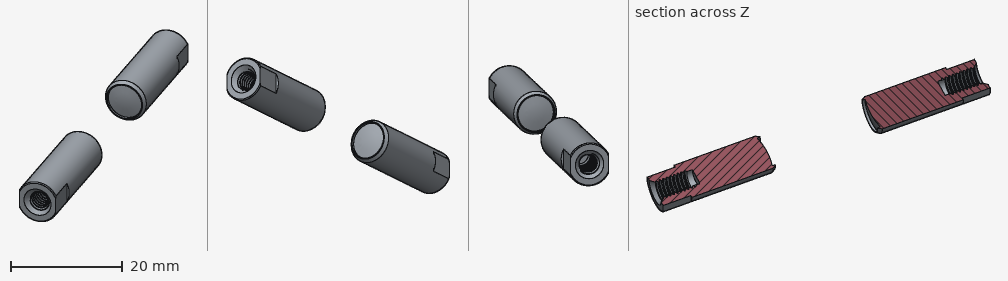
import cadquery as cq
import math

overall_length = 64.2
pin_length = 22.1

pin_diameter = 7.9
mouth_chamfer = 0.2
dome_chamfer_radial = 0.45
dome_chamfer_axial = 0.7

flat_width = 7.0
flat_length = 5.45

rim_width = 0.2
recess_depth = 0.5
dome_height = 0.4

thread_pitch = 0.7
thread_major_diameter = 4.0
thread_minor_diameter = 3.3
hole_depth = 8.0
thread_runout = 0.95
countersink_diameter = 5.2
countersink_depth = 0.95
root_flat = thread_pitch / 8
thread_angle = 60.0
groove_overlap = 0.03

pin_radius = pin_diameter / 2
hole_radius = thread_minor_diameter / 2


def make_blank():
    """Revolved pin along +Z, with its mouth at Z = 0 and its sunken dome at the far end."""
    rim_radius = pin_radius - dome_chamfer_radial
    dome_radius = rim_radius - rim_width
    dome_edge_z = pin_length - recess_depth
    sphere_radius = (dome_radius**2 + dome_height**2) / (2 * dome_height)
    half_angle = math.asin(dome_radius / sphere_radius) / 2
    sphere_center_z = dome_edge_z + dome_height - sphere_radius
    dome_middle = (
        sphere_radius * math.sin(half_angle),
        sphere_center_z + sphere_radius * math.cos(half_angle),
    )
    return (
        cq.Workplane("XZ")
        .moveTo(0, 0)
        .lineTo(pin_radius - mouth_chamfer, 0)
        .lineTo(pin_radius, mouth_chamfer)
        .lineTo(pin_radius, pin_length - dome_chamfer_axial)
        .lineTo(rim_radius, pin_length)
        .lineTo(dome_radius, pin_length)
        .lineTo(dome_radius, dome_edge_z)
        .threePointArc(dome_middle, (0, dome_edge_z + dome_height))
        .close()
        .revolve(360, (0, 0, 0), (0, 1, 0))
    )


def cut_flats(pin):
    """Cut two parallel wrench flats, one on each X side of the mouth end."""
    for side in (-1, 1):
        side_block = (
            cq.Workplane("XY")
            .center(side * (flat_width / 2 + pin_radius / 2), 0)
            .rect(pin_radius, pin_diameter)
            .extrude(flat_length)
        )
        pin = pin.cut(side_block)
    return pin


def make_hole():
    """Flat-bottomed core hole with a conical countersink at the mouth."""
    return (
        cq.Workplane("XZ")
        .polyline([
            (0, 0),
            (countersink_diameter / 2, 0),
            (hole_radius, countersink_depth),
            (hole_radius, hole_depth),
            (0, hole_depth),
        ])
        .close()
        .revolve(360, (0, 0, 0), (0, 1, 0))
    )


def make_thread_groove():
    """Right-handed helical groove, running in from one pitch outside the mouth."""
    groove_length = thread_pitch + hole_depth - thread_runout
    helix = cq.Wire.makeHelix(thread_pitch, groove_length, hole_radius)
    inner_radius = hole_radius - groove_overlap
    outer_radius = thread_major_diameter / 2
    flank_rise = (outer_radius - inner_radius) * math.tan(math.radians(thread_angle / 2))
    groove = (
        cq.Workplane("XZ")
        .polyline([
            (inner_radius, -root_flat / 2 - flank_rise),
            (outer_radius, -root_flat / 2),
            (outer_radius, root_flat / 2),
            (inner_radius, root_flat / 2 + flank_rise),
        ])
        .close()
        .sweep(cq.Workplane(obj=helix), isFrenet=True)
    )
    return groove.translate((0, 0, -thread_pitch))


def make_pin():
    """Complete pin, standing on its mouth at Z = 0."""
    pin = cut_flats(make_blank())
    return pin.cut(make_thread_groove()).cut(make_hole())


front_pin = make_pin().rotate((0, 0, 0), (1, 0, 0), -90).translate((0, -overall_length / 2, 0))

pins = []
for turn in (0, 180):
    pins.append(front_pin.rotate((0, 0, 0), (0, 0, 1), turn).solids().val())

result = cq.Compound.makeCompound(pins)